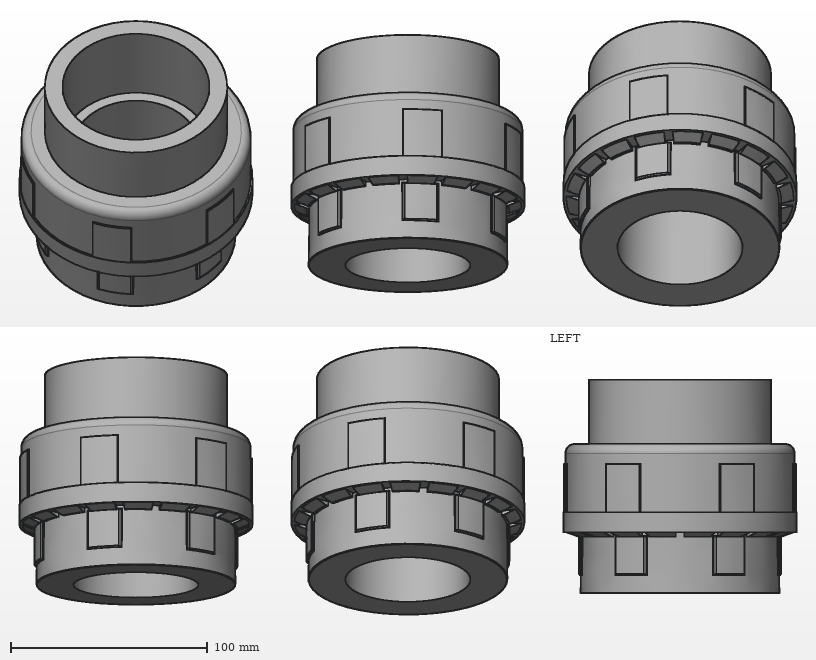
import cadquery as cq
import math

total_height = 109.0
nut_top = 76.3
flange_top = 41.3
flange_bottom = 31.2

spigot_diameter = 93.0
socket_diameter = 75.0
socket_depth = 43.4
bore_diameter = 63.8

nut_diameter = 117.0
nut_top_fillet = 4.9
flange_diameter = 119.0

body_bottom_diameter = 101.6
body_top_diameter = 100.9
body_chamfer = 0.4

pad_count = 6
pad_start_angle = 30.0
nut_pad_diameter = 118.5
nut_pad_width = 20.2
nut_pad_top = 66.2
nut_pad_chamfer = 0.2
body_pad_diameter = 103.6
body_pad_width = 19.0
body_pad_bottom = 9.4
body_pad_top = 29.5
body_pad_chamfer = 0.7
body_pad_draft = 20.0
body_pad_root_overlap = 0.1

tooth_count = 18
tooth_height = 2.3
tooth_collar_top_diameter = 115.9
tooth_collar_bottom_diameter = 103.5
tooth_gap_width = 4.4


def cylinder(diameter, bottom, top):
    """Upright cylinder on the part axis."""
    return cq.Workplane("XY").workplane(offset=bottom).circle(diameter / 2).extrude(top - bottom)


def cone(bottom_diameter, top_diameter, bottom, top):
    """Upright truncated cone on the part axis."""
    return cq.Workplane(
        cq.Solid.makeCone(
            bottom_diameter / 2,
            top_diameter / 2,
            top - bottom,
            pnt=cq.Vector(0, 0, bottom),
        )
    )


def radial_bar(length, width, bottom, top):
    """Rectangular bar running from the part axis along +X."""
    return (
        cq.Workplane("XY")
        .box(length, width, top - bottom, centered=(False, True, False))
        .translate((0, 0, bottom))
    )


def around_axis(shape, count, start_angle):
    """Copies of a shape, evenly spaced around the part axis."""
    step = 360.0 / count
    return [shape.rotate((0, 0, 0), (0, 0, 1), start_angle + i * step) for i in range(count)]


def nut_grip_pad():
    """Straight-sided pad standing on the flange, its buried foot reaching into the flange."""
    bar = radial_bar(nut_pad_diameter, nut_pad_width, flange_bottom, nut_pad_top)
    pad = cylinder(nut_pad_diameter, flange_bottom, nut_pad_top).intersect(bar)
    return pad.faces("%CYLINDER").edges().chamfer(nut_pad_chamfer)


def body_grip_pad():
    """Pad with drafted sides and a chamfer around its cylindrical outer face."""
    root = math.sqrt(body_top_diameter**2 - body_pad_width**2) / 2 - body_pad_root_overlap
    root_half_width = body_pad_width / 2
    tip = body_pad_diameter / 2
    tip_half_width = root_half_width - (tip - root) * math.tan(math.radians(body_pad_draft))
    block = (
        cq.Workplane("XY")
        .workplane(offset=body_pad_bottom)
        .polyline(
            [
                (root, -root_half_width),
                (tip, -tip_half_width),
                (tip, tip_half_width),
                (root, root_half_width),
            ]
        )
        .close()
        .extrude(body_pad_top - body_pad_bottom)
    )
    pad = cylinder(body_pad_diameter, 0, flange_bottom).intersect(block)
    return pad.faces("%CYLINDER").edges().chamfer(body_pad_chamfer)


def ratchet_teeth():
    """Conical collar split into teeth by parallel-sided gaps."""
    bottom = flange_bottom - tooth_height
    teeth = cone(tooth_collar_bottom_diameter, tooth_collar_top_diameter, bottom, flange_bottom)
    gap = radial_bar(tooth_collar_top_diameter, tooth_gap_width, bottom, flange_bottom)
    for gap_copy in around_axis(gap, tooth_count, 0):
        teeth = teeth.cut(gap_copy)
    return teeth


body = cone(body_bottom_diameter, body_top_diameter, 0, flange_bottom).faces("<Z").chamfer(body_chamfer)
flange = cylinder(flange_diameter, flange_bottom, flange_top)
nut = cylinder(nut_diameter, flange_top, nut_top).faces(">Z").edges().fillet(nut_top_fillet)
spigot = cylinder(spigot_diameter, nut_top, total_height)
result = ratchet_teeth().union(body).union(flange).union(nut).union(spigot)

for pad in (nut_grip_pad(), body_grip_pad()):
    for pad_copy in around_axis(pad, pad_count, pad_start_angle):
        result = result.union(pad_copy)

socket_floor = total_height - socket_depth
result = result.cut(cylinder(socket_diameter, socket_floor, total_height))
result = result.cut(cylinder(bore_diameter, 0, total_height))